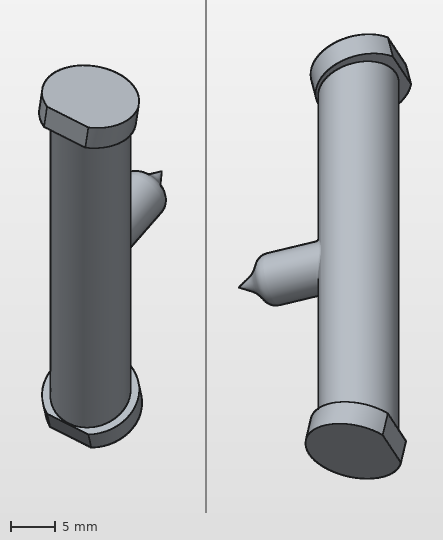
import cadquery as cq
import math

overall_height = 55.95
rod_radius = 4.55
cap_diameter = 11.0
cap_thickness = 2.95
cap_flat_distance = 4.75
cap_tilt = 12.0
stem_radius = 3.0
stem_end = 10.3
nose_tip = 14.5
nose_waist_radius = 1.4
nose_waist_length = 2.2
nose_half_angle = 35.0
stem_fillet = 0.35

cap_radius = cap_diameter / 2
tilt = math.radians(cap_tilt)
flat_rise = cap_flat_distance * math.sin(tilt)

upper_outer_z = overall_height / 2 - flat_rise
lower_inner_z = -(overall_height / 2 - flat_rise - cap_thickness * math.cos(tilt))


def tilted_plane(y, z, side):
    """Plane whose normal points outward, up (side=1) or down (side=-1), leaning to +Y."""
    return cq.Plane(
        origin=(0, y, z), xDir=(1, 0, 0), normal=(0, math.sin(tilt), side * math.cos(tilt))
    )


upper_inner_plane = tilted_plane(
    -cap_thickness * math.sin(tilt), upper_outer_z - cap_thickness * math.cos(tilt), 1
)
lower_inner_plane = tilted_plane(0, lower_inner_z, -1)
inner_planes = [upper_inner_plane, lower_inner_plane]


def make_cap(plane):
    """Disc growing outward from its inner face, with one flat on the -Y side."""
    disc = cq.Workplane(plane).circle(cap_radius).extrude(cap_thickness)
    toward_positive_y = math.copysign(1, plane.yDir.y)
    keep_depth = cap_radius + cap_flat_distance
    keep = (
        cq.Workplane(plane)
        .center(0, toward_positive_y * (cap_radius - cap_flat_distance) / 2)
        .rect(cap_diameter, keep_depth)
        .extrude(cap_thickness)
    )
    return disc.intersect(keep)


def make_stem():
    """Side stem along +Y: a cylinder with a rounded shoulder running out to a point."""
    half_angle = math.radians(nose_half_angle)
    tip_direction = (-math.sin(half_angle), math.cos(half_angle))
    waist = (nose_waist_radius, nose_tip - nose_waist_length)
    profile = (
        cq.Workplane("XY")
        .lineTo(stem_radius, 0)
        .lineTo(stem_radius, stem_end)
        .spline([waist, (0, nose_tip)], tangents=[(0, 1), tip_direction], includeCurrent=True)
        .close()
    )
    return profile.revolve(360, (0, 0, 0), (0, 1, 0))


def make_rod():
    """Rod cut to the slanted inner faces of the caps, with the stem blended into its side."""
    blank = cq.Workplane("XY").circle(rod_radius).extrude(overall_height / 2, both=True)
    body = blank.union(make_stem())
    joint_box = cq.selectors.BoxSelector(
        (-rod_radius, 0, -rod_radius), (rod_radius, rod_radius + stem_fillet, rod_radius)
    )
    body = body.edges(joint_box).edges("not %LINE").fillet(stem_fillet)
    waste_width = 4 * rod_radius
    for plane in inner_planes:
        waste = cq.Workplane(plane).rect(waste_width, waste_width).extrude(overall_height)
        body = body.cut(waste)
    return body


rod = make_rod()
caps = [make_cap(plane) for plane in inner_planes]

result = cq.Compound.makeCompound([rod.val(), *[cap.val() for cap in caps]])